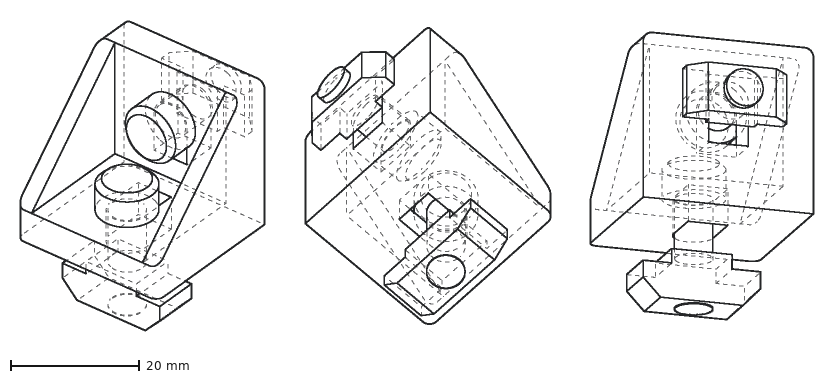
import cadquery as cq

bracket_width = 28.0
leg_length = 27.0
plate_thickness = 6.0
side_wall = 3.0
corner_radius = 1.5

screw_position = 16.93
slot_width = 6.55
slot_start = plate_thickness + 3.98

shank_diameter = 6.0
head_diameter = 10.0
lower_head_height = 5.8
rear_head_height = 6.0
head_chamfer = 1.0
overall_height = 39
overall_depth = 35.0
lower_screw_reach = overall_height - leg_length
rear_screw_reach = overall_depth - leg_length

lower_nut = {
    "gap": 3.75, "neck_height": 2.35, "side_height": 2.75, "taper_height": 3.0,
    "taper_run": 2.9, "width": 19.35, "neck_width": 10.0, "length": 8.0,
}
rear_nut = {
    "gap": 0.7, "neck_height": 1.5, "side_height": 1.9, "taper_height": 2.6,
    "taper_run": 2.6, "width": 16.45, "neck_width": 8.0, "length": 7.88,
}


def make_bracket():
    """Angle bracket with two side gussets, open between them."""
    profile = [
        (0, 0),
        (-leg_length, 0),
        (-leg_length, plate_thickness),
        (-plate_thickness, leg_length),
        (0, leg_length),
    ]
    body = cq.Workplane("YZ").polyline(profile).close().extrude(bracket_width / 2, both=True)

    flat_plate_corners = (
        cq.Workplane("XY")
        .rect(bracket_width, 2 * leg_length)
        .extrude(leg_length)
        .edges("|Z and <Y")
        .fillet(corner_radius)
    )
    upright_plate_corners = (
        cq.Workplane("XZ")
        .rect(bracket_width, 2 * leg_length)
        .extrude(leg_length)
        .edges("|Y and >Z")
        .fillet(corner_radius)
    )
    body = body.intersect(flat_plate_corners).intersect(upright_plate_corners)

    cavity = cq.Workplane("XY").box(
        bracket_width - 2 * side_wall, leg_length, leg_length, centered=(True, False, False)
    ).translate((0, -plate_thickness - leg_length, plate_thickness))
    return body.cut(cavity)


def make_slot():
    """Cutter for the flat plate: square inner end, round end about the screw."""
    half_width = slot_width / 2
    return (
        cq.Workplane("XY")
        .moveTo(-half_width, -slot_start)
        .lineTo(-half_width, -screw_position)
        .threePointArc((0, -screw_position - half_width), (half_width, -screw_position))
        .lineTo(half_width, -slot_start)
        .close()
        .extrude(plate_thickness)
    )


def make_screw(reach, head_height):
    """Screw through the flat plate, its shank reaching below the outer face."""
    head = (
        cq.Workplane("XY")
        .workplane(offset=plate_thickness)
        .circle(head_diameter / 2)
        .extrude(head_height)
        .faces(">Z")
        .chamfer(head_chamfer)
    )
    shank = (
        cq.Workplane("XY")
        .workplane(offset=-reach)
        .circle(shank_diameter / 2)
        .extrude(reach + plate_thickness)
    )
    return head.union(shank).translate((0, -screw_position, 0))


def make_nut(nut):
    """T-nut on the screw axis below the flat plate, with a tapered far side."""
    half_neck = nut["neck_width"] / 2
    half_width = nut["width"] / 2
    half_end = half_width - nut["taper_run"]
    neck_top = -nut["gap"]
    shoulder = neck_top - nut["neck_height"]
    taper_start = shoulder - nut["side_height"]
    nut_end = taper_start - nut["taper_height"]
    right_side = [
        (half_neck, neck_top),
        (half_neck, shoulder),
        (half_width, shoulder),
        (half_width, taper_start),
        (half_end, nut_end),
    ]
    left_side = [(-x, z) for x, z in reversed(right_side)]
    return (
        cq.Workplane("XZ")
        .polyline(right_side + left_side)
        .close()
        .extrude(nut["length"] / 2, both=True)
        .translate((0, -screw_position, 0))
    )


def to_upright_plate(shape):
    """Move a flat-plate shape to the upright plate: (y, z) becomes (-z, -y)."""
    return shape.rotate((0, 0, 0), (1, 0, 0), 90).mirror("XY")


slot = make_slot()
lower_fastener = make_screw(lower_screw_reach, lower_head_height).union(make_nut(lower_nut))
rear_fastener = make_screw(rear_screw_reach, rear_head_height).union(make_nut(rear_nut))

result = (
    make_bracket()
    .cut(slot)
    .cut(to_upright_plate(slot))
    .union(lower_fastener)
    .union(to_upright_plate(rear_fastener))
)